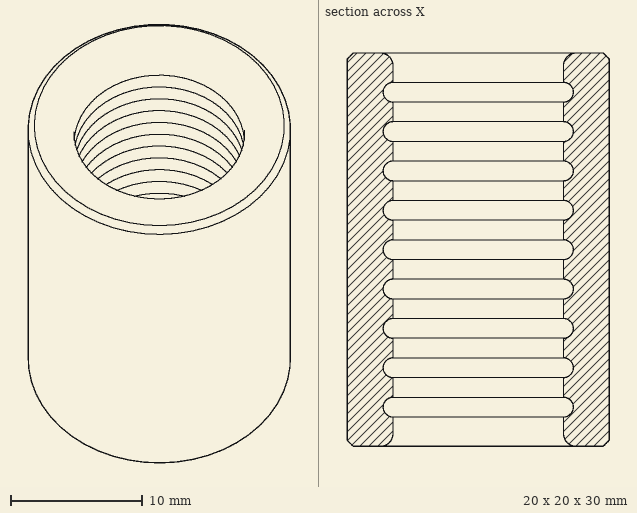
import cadquery as cq

length = 30.0
outer_diameter = 20.0
bore_diameter = 13.0
rim_chamfer = 0.48
mouth_radius = 1.0
groove_radius = 0.75
groove_pitch = 3.0

bore_radius = bore_diameter / 2
groove_count = round(length / groove_pitch) - 1


def sleeve_body():
    """Plain bushing with chamfered outer rims and rounded bore mouths."""
    body = cq.Workplane("XY").circle(outer_diameter / 2).extrude(length)
    body = body.faces("<Z or >Z").edges().chamfer(rim_chamfer)
    bore = cq.Workplane("XY").circle(bore_radius).extrude(length)
    body = body.cut(bore)
    bore_mouths = body.faces("<Z or >Z").edges(cq.selectors.RadiusNthSelector(0))
    return bore_mouths.fillet(mouth_radius)


def bore_groove(height):
    """Ring-shaped cutter with a half-round rim centred on the bore wall."""
    inner_radius = bore_radius - groove_radius
    profile = (
        cq.Workplane("XZ")
        .moveTo(inner_radius, height - groove_radius)
        .lineTo(bore_radius, height - groove_radius)
        .threePointArc(
            (bore_radius + groove_radius, height),
            (bore_radius, height + groove_radius),
        )
        .lineTo(inner_radius, height + groove_radius)
        .close()
    )
    return profile.revolve(360, (0, 0), (0, 1))


result = sleeve_body()
for index in range(1, groove_count + 1):
    result = result.cut(bore_groove(index * groove_pitch))